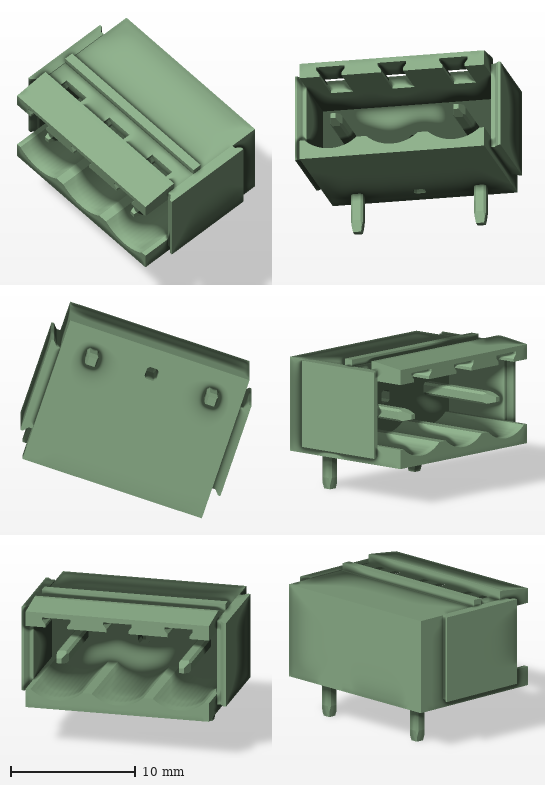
import cadquery as cq
import math


POLE_COUNT = 3
PITCH = 5.08
FITTED_POLES = (0, 2)

BODY_WIDTH = 15.25
BODY_DEPTH = 12.0
BODY_TOP = 7.7
FLOOR_TOP = 1.56
ROOF_UNDERSIDE = 6.88
CAVITY_DEPTH = 8.5

LIP_DEPTH = 3.13
LIP_FLAT = 0.35
LIP_TOP = 8.45
LIP_FRONT_TOP = 8.11

RIB_FRONT = 5.27
RIB_WIDTH = 0.76
RIB_TOP = 8.3
FLARE_WIDTH = 0.12
FLARE_HEIGHT = 0.03

TROUGH_BOTTOM = 0.75
TROUGH_WIDTH = 4.28

SLOT_DEPTH = 4.18
SLOT_TOP = BODY_TOP
SLOT_TOP_WIDTH = 2.36
SLOT_MOUTH_WIDTH = 1.82
SLOT_SHOULDER = 7.48
SLOT_NECK = 7.12

OVERALL_WIDTH = 17.0
PLATE_BOTTOM = 0.7
PLATE_TOP = 7.77
PLATE_FRONT = 2.07
PLATE_REAR = 9.91
PLATE_EDGE = 0.2
PLATE_BEVEL_WIDTH = 0.35
PLATE_BEVEL_LENGTH = 0.4

PIN_WIDTH = 1.0
PIN_CHAMFER = 0.19
PIN_AXIS_Z = 3.82
LEG_AXIS_Y = 9.95
CONTACT_END_Y = 0.92
CONTACT_TAPER = 1.19
CONTACT_TIP_WIDTH = 0.4
LEG_END_Z = -3.18
LEG_TAPER = 0.95
LEG_TIP_WIDTH = 0.66

pole_positions = [(i - (POLE_COUNT - 1) / 2) * PITCH for i in range(POLE_COUNT)]


def make_body():
    """Side profile of the housing, a C open to the front, extruded over its width."""
    rib_rear = RIB_FRONT + RIB_WIDTH
    rib_foot = BODY_TOP + FLARE_HEIGHT
    profile = [
        (0, 0),
        (BODY_DEPTH, 0),
        (BODY_DEPTH, BODY_TOP),
        (rib_rear + FLARE_WIDTH, BODY_TOP),
        (rib_rear, rib_foot),
        (rib_rear, RIB_TOP),
        (RIB_FRONT, RIB_TOP),
        (RIB_FRONT, rib_foot),
        (RIB_FRONT - FLARE_WIDTH, BODY_TOP),
        (LIP_DEPTH, BODY_TOP),
        (LIP_DEPTH, LIP_TOP),
        (LIP_DEPTH - LIP_FLAT, LIP_TOP),
        (0, LIP_FRONT_TOP),
        (0, ROOF_UNDERSIDE),
        (CAVITY_DEPTH, ROOF_UNDERSIDE),
        (CAVITY_DEPTH, FLOOR_TOP),
        (0, FLOOR_TOP),
    ]
    return cq.Workplane("YZ").polyline(profile).close().extrude(BODY_WIDTH / 2, both=True)


def make_side_plate(side):
    """Upright dovetail plate on the left (side = -1) or right (side = 1) of the housing."""
    inner_x = BODY_WIDTH / 2
    outer_x = OVERALL_WIDTH / 2
    bevel_outer_x = outer_x - PLATE_EDGE
    bevel_inner_x = bevel_outer_x - PLATE_BEVEL_WIDTH
    neck_front = PLATE_FRONT + PLATE_BEVEL_LENGTH
    neck_rear = PLATE_REAR - PLATE_BEVEL_LENGTH
    outline = [
        (inner_x, neck_front),
        (bevel_inner_x, neck_front),
        (bevel_outer_x, PLATE_FRONT),
        (outer_x, PLATE_FRONT),
        (outer_x, PLATE_REAR),
        (bevel_outer_x, PLATE_REAR),
        (bevel_inner_x, neck_rear),
        (inner_x, neck_rear),
    ]
    return (
        cq.Workplane("XY")
        .workplane(offset=PLATE_BOTTOM)
        .polyline([(side * x, y) for x, y in outline])
        .close()
        .extrude(PLATE_TOP - PLATE_BOTTOM)
    )


def make_trough(pole_x):
    """Round trough cut along the cavity floor below one pole."""
    sagitta = FLOOR_TOP - TROUGH_BOTTOM
    half_chord = TROUGH_WIDTH / 2
    radius = (half_chord**2 + sagitta**2) / (2 * sagitta)
    cylinder = (
        cq.Workplane("XZ", origin=(pole_x, 0, TROUGH_BOTTOM + radius))
        .circle(radius)
        .extrude(-CAVITY_DEPTH)
    )
    below_floor = (
        cq.Workplane("XY", origin=(pole_x, 0, TROUGH_BOTTOM))
        .box(TROUGH_WIDTH, CAVITY_DEPTH, sagitta, centered=(True, False, False))
    )
    return cylinder.intersect(below_floor)


def make_slot(pole_x):
    """Dovetail slot through the lip and the front of the roof above one pole."""
    half_top = SLOT_TOP_WIDTH / 2
    half_mouth = SLOT_MOUTH_WIDTH / 2
    outline = [
        (-half_mouth, ROOF_UNDERSIDE),
        (-half_mouth, SLOT_NECK),
        (-half_top, SLOT_SHOULDER),
        (-half_top, SLOT_TOP),
        (half_top, SLOT_TOP),
        (half_top, SLOT_SHOULDER),
        (half_mouth, SLOT_NECK),
        (half_mouth, ROOF_UNDERSIDE),
    ]
    return cq.Workplane("XZ", origin=(pole_x, 0, 0)).polyline(outline).close().extrude(-SLOT_DEPTH)


def make_bent_wire(pole_x):
    """L-shaped chamfered wire with a mitred corner and blunt ends."""
    path = (
        cq.Workplane("YZ", origin=(pole_x, 0, 0))
        .moveTo(CONTACT_END_Y, PIN_AXIS_Z)
        .lineTo(LEG_AXIS_Y, PIN_AXIS_Z)
        .lineTo(LEG_AXIS_Y, LEG_END_Z)
    )
    section = (
        cq.Workplane("XZ", origin=(pole_x, CONTACT_END_Y, PIN_AXIS_Z))
        .sketch()
        .rect(PIN_WIDTH, PIN_WIDTH)
        .vertices()
        .chamfer(PIN_CHAMFER)
        .finalize()
    )
    return section.sweep(path, transition="right")


def make_tip_cutter(taper_length, tip_width):
    """Square frame that points a wire end; the taper starts at Z = 0 and the tip faces up."""
    frame_width = 2 * PIN_WIDTH
    frame = cq.Workplane("XY").rect(frame_width, frame_width).extrude(taper_length)
    taper_angle = math.degrees(math.atan2((PIN_WIDTH - tip_width) / 2, taper_length))
    point = cq.Workplane("XY").rect(PIN_WIDTH, PIN_WIDTH).extrude(taper_length, taper=taper_angle)
    return frame.cut(point)


def make_pin(pole_x):
    """Bent contact pin with a pointed mating end and a pointed solder leg."""
    contact_cutter = (
        make_tip_cutter(CONTACT_TAPER, CONTACT_TIP_WIDTH)
        .rotate((0, 0, 0), (1, 0, 0), 90)
        .translate((pole_x, CONTACT_END_Y + CONTACT_TAPER, PIN_AXIS_Z))
    )
    leg_cutter = (
        make_tip_cutter(LEG_TAPER, LEG_TIP_WIDTH)
        .rotate((0, 0, 0), (1, 0, 0), 180)
        .translate((pole_x, LEG_AXIS_Y, LEG_END_Z + LEG_TAPER))
    )
    return make_bent_wire(pole_x).cut(contact_cutter).cut(leg_cutter)


housing = make_body()
for side in (-1, 1):
    housing = housing.union(make_side_plate(side))
for pole_x in pole_positions:
    housing = housing.cut(make_trough(pole_x)).cut(make_slot(pole_x)).cut(make_bent_wire(pole_x))

pins = [make_pin(pole_positions[i]) for i in FITTED_POLES]

result = cq.Compound.makeCompound([housing.val(), *[pin.val() for pin in pins]])